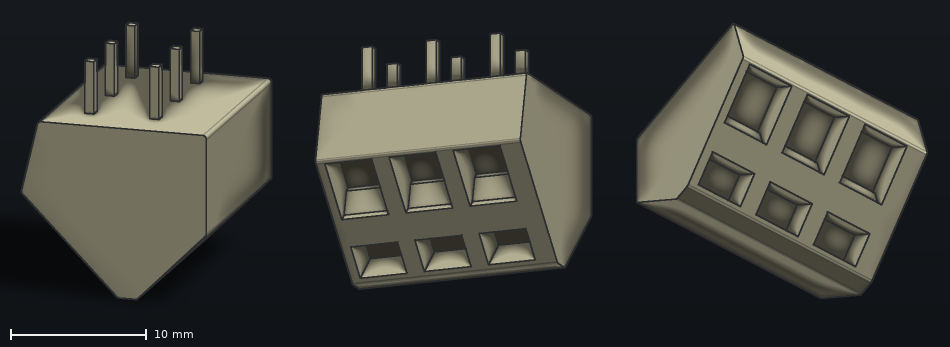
import cadquery as cq
import math

POSITIONS = 3
PITCH = 5.08
END_WALL = 1.0
BODY_LENGTH = POSITIONS * PITCH + END_WALL
Y_MAX = POSITIONS * PITCH / 2
CONTACT_YS = [(i - (POSITIONS - 1) / 2) * PITCH for i in range(POSITIONS)]

BODY_WIDTH = 14.27
BODY_HEIGHT = 13.0
EDGE_RADIUS = 0.3
BACK_TILT = math.radians(13.3)
TOP_LEFT_X = 1.28
BOTTOM_LEFT_X = 7.44
BOTTOM_RIGHT_X = 8.91

PIN_LENGTH = 4.0
PIN_X_SIZE = 0.7
PIN_Y_SIZE = 0.8
FIRST_PIN_X = 4.28
PIN_ROW_SPACING = 5.0

OPENING_WIDTH = 3.7
OPENING_DEPTH = 2.85
DEPTH_STEP = OPENING_DEPTH / math.sqrt(2)
LEVER_TOP_Z = -5.73
LEVER_BOTTOM_Z = -9.11
WIRE_TOP_Z = -10.78
WIRE_BOTTOM_Z = -12.68
WIRE_Y_OFFSET = -0.05

LEDGE_RISE = 0.46
LEVER_FACE_RISE = 1.96


def slope_x(z):
    """X on the 45 degree lower left face at height z."""
    return BOTTOM_LEFT_X - (z + BODY_HEIGHT)


def extrude_along_y(points, y_max, length):
    return cq.Workplane("XZ", origin=(0, y_max, 0)).polyline(points).close().extrude(length)


def make_housing():
    back_slope = math.tan(BACK_TILT)
    left_z = (BOTTOM_LEFT_X - BODY_HEIGHT - TOP_LEFT_X) / (1 + back_slope)
    right_z = BODY_WIDTH - BOTTOM_RIGHT_X - BODY_HEIGHT
    outline = [
        (TOP_LEFT_X, 0),
        (BODY_WIDTH, 0),
        (BODY_WIDTH, right_z),
        (BOTTOM_RIGHT_X, -BODY_HEIGHT),
        (BOTTOM_LEFT_X, -BODY_HEIGHT),
        (slope_x(left_z), left_z),
    ]
    return extrude_along_y(outline, Y_MAX, BODY_LENGTH).edges("|Y").fillet(EDGE_RADIUS)


def make_lever_opening(y):
    ledge = (slope_x(LEVER_BOTTOM_Z) + LEDGE_RISE, LEVER_BOTTOM_Z + LEDGE_RISE)
    face_top = (ledge[0] + LEVER_FACE_RISE * math.tan(BACK_TILT), ledge[1] + LEVER_FACE_RISE)
    depth_left = DEPTH_STEP - (sum(face_top) - slope_x(0)) / 2
    outline = [
        (slope_x(LEVER_BOTTOM_Z), LEVER_BOTTOM_Z),
        ledge,
        face_top,
        (face_top[0] + depth_left, face_top[1] + depth_left),
        (slope_x(LEVER_TOP_Z) + DEPTH_STEP, LEVER_TOP_Z + DEPTH_STEP),
        (slope_x(LEVER_TOP_Z), LEVER_TOP_Z),
    ]
    return extrude_along_y(outline, y + OPENING_WIDTH / 2, OPENING_WIDTH)


def make_wire_opening(y):
    outline = [
        (slope_x(WIRE_BOTTOM_Z), WIRE_BOTTOM_Z),
        (slope_x(WIRE_BOTTOM_Z) + DEPTH_STEP, WIRE_BOTTOM_Z + DEPTH_STEP),
        (slope_x(WIRE_TOP_Z) + DEPTH_STEP, WIRE_TOP_Z + DEPTH_STEP),
        (slope_x(WIRE_TOP_Z), WIRE_TOP_Z),
    ]
    return extrude_along_y(outline, y + OPENING_WIDTH / 2, OPENING_WIDTH)


def make_pin(x, y):
    pin = cq.Workplane("XY").box(PIN_X_SIZE, PIN_Y_SIZE, PIN_LENGTH, centered=(True, True, False))
    return pin.translate((x, y, 0))


result = make_housing()
for contact_y in CONTACT_YS:
    result = result.cut(make_lever_opening(contact_y))
    result = result.cut(make_wire_opening(contact_y + WIRE_Y_OFFSET))
    for pin_x in (FIRST_PIN_X, FIRST_PIN_X + PIN_ROW_SPACING):
        result = result.union(make_pin(pin_x, contact_y))